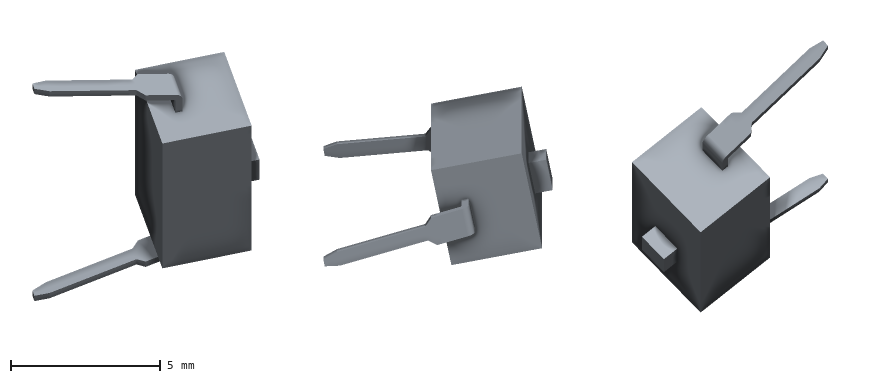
import cadquery as cq
import math

total_depth = 7.7
total_height = 10.5

body_width = 3.48
body_depth = 3.1
body_height = 6.17

slider_width = 1.11
slider_travel = 0.6
slider_height = 1.0

lead_thickness = 0.25
lead_setback = 1.04
lead_angle = math.radians(15)
inner_bend_radius = 0.05
wide_width = 1.0
narrow_width = 0.5
tip_width = 0.25
shoulder_length = 0.25
shoulder_offset = 1.28
tip_length = 0.49

body_front = -body_depth / 2
body_back = body_depth / 2
body_top = body_height / 2
lead_back = body_front + lead_setback
lead_front = lead_back - lead_thickness
tip_front = body_back + slider_travel - total_depth
tip_top = total_height / 2


def make_slider():
    return cq.Workplane("XY").box(
        slider_width, slider_travel, slider_height, centered=(True, False, False)
    ).translate((0, body_back, -slider_height))


def make_lead_strip():
    """Bent strip of full width, with a vertical end face."""
    slope = math.tan(lead_angle)
    vertical_thickness = lead_thickness / math.cos(lead_angle)
    outer_radius = inner_bend_radius + lead_thickness
    center_y = lead_back - outer_radius
    tip_bottom = tip_top - vertical_thickness
    center_z = (
        tip_top - slope * (center_y - tip_front) - outer_radius / math.cos(lead_angle)
    )
    half_turn = (math.pi / 2 - lead_angle) / 2

    def bend_point(radius, angle):
        return (center_y + radius * math.cos(angle), center_z + radius * math.sin(angle))

    return (
        cq.Workplane("YZ")
        .moveTo(lead_back, body_top)
        .lineTo(lead_back, center_z)
        .threePointArc(
            bend_point(outer_radius, half_turn), bend_point(outer_radius, 2 * half_turn)
        )
        .lineTo(tip_front, tip_top)
        .lineTo(tip_front, tip_bottom)
        .lineTo(*bend_point(inner_bend_radius, 2 * half_turn))
        .threePointArc(
            bend_point(inner_bend_radius, half_turn), bend_point(inner_bend_radius, 0)
        )
        .lineTo(lead_front, body_top)
        .close()
        .extrude(wide_width / 2, both=True)
    )


def make_lead_outline():
    """Plan shape of the lead, cut straight through in Z."""
    shoulder_y = lead_back - shoulder_offset
    neck_y = shoulder_y - shoulder_length
    taper_y = tip_front + tip_length
    return (
        cq.Workplane("XY")
        .moveTo(-wide_width / 2, lead_back)
        .lineTo(-wide_width / 2, shoulder_y)
        .lineTo(-narrow_width / 2, neck_y)
        .lineTo(-narrow_width / 2, taper_y)
        .lineTo(-tip_width / 2, tip_front)
        .lineTo(tip_width / 2, tip_front)
        .lineTo(narrow_width / 2, taper_y)
        .lineTo(narrow_width / 2, neck_y)
        .lineTo(wide_width / 2, shoulder_y)
        .lineTo(wide_width / 2, lead_back)
        .close()
        .extrude(tip_top)
    )


body = cq.Workplane("XY").box(body_width, body_depth, body_height)
upper_lead = make_lead_strip().intersect(make_lead_outline())
lower_lead = upper_lead.mirror("XY")
result = body.union(make_slider()).union(upper_lead).union(lower_lead)